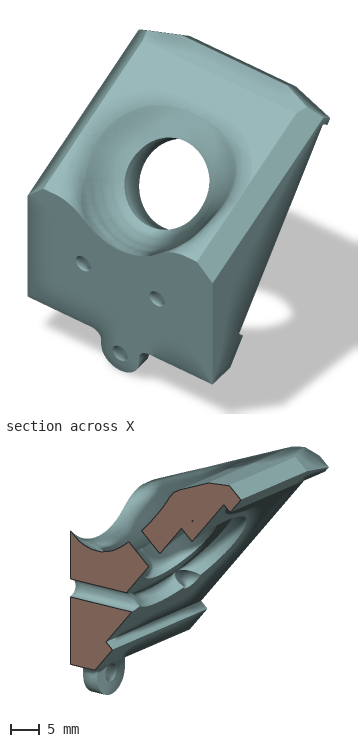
import cadquery as cq
import math


width = 39.0
roof_start_height = 27.2
roof_angle = 22.2
roof_end_y = 30.0
peak_y = 34.51
peak_z = 39.86
edge_chamfer = 3.3

seat_angle = 50.0
seat_y = 7.82
seat_z = 5.73
seat_length = 39.6
seat_depth = 1.8
end_flat_width = 22.4
end_corner_drop = 2.4

lens_diameter = 16.0
lens_recess_diameter = 24.0
lens_recess_depth = 3.0
bowl_floor_height = 8.0

bowl_low_radius = 13.0
bowl_high_radius = 15.4
bowl_high_offset = 6.4
bowl_floor_fillet = 8.6
bowl_lip_fillet = 4.0

screw_diameter = 3.2
screw_spacing = 15.6
screw_height = 14.0
tab_radius = 4.0
tab_hole_drop = 3.0
tab_thickness = 3.0
tab_root_fillet = 2.0

oversize = 100.0
margin = 10.0

seat_cos = math.cos(math.radians(seat_angle))
seat_sin = math.sin(math.radians(seat_angle))
roof_cos = math.cos(math.radians(roof_angle))
roof_sin = math.sin(math.radians(roof_angle))
roof_slope = math.tan(math.radians(roof_angle))


def seat_point(along, height):
    """(y, z) of a point given by its distance up the slope and its height off the seat."""
    y = seat_y + along * seat_cos - height * seat_sin
    z = seat_z + along * seat_sin + height * seat_cos
    return (y, z)


def seat_plane(along, height):
    """Plane parallel to the seat: local x is X, local y runs up the slope, normal faces out."""
    return cq.Plane(
        origin=(0, *seat_point(along, height)),
        xDir=(1, 0, 0),
        normal=(0, -seat_sin, seat_cos),
    )


def extrude_across(points, span):
    """Prism of a (y, z) outline, centred on X = 0."""
    return cq.Workplane("YZ").polyline(points).close().extrude(span / 2, both=True)


end_along = (peak_y - seat_y) * seat_cos + (peak_z - seat_z) * seat_sin
lens_along = seat_length / 2


def make_wedge():
    step = seat_point(0, -seat_depth)
    base_depth = step[0] - step[1] / math.tan(math.radians(seat_angle))
    outline = [
        (0, 0),
        (base_depth, 0),
        step,
        seat_point(0, 0),
        seat_point(seat_length, 0),
        seat_point(seat_length, -seat_depth),
        seat_point(end_along, -seat_depth),
        (peak_y, peak_z),
        (roof_end_y, roof_start_height + roof_end_y * roof_slope),
        (0, roof_start_height),
    ]
    return extrude_across(outline, width)


def make_edge_chamfer_cutter(side):
    """Triangular bar along one roof edge, running parallel to the roof."""
    plane = cq.Plane(
        origin=(0, 0, roof_start_height),
        xDir=(1, 0, 0),
        normal=(0, roof_cos, roof_sin),
    )
    drop = edge_chamfer * roof_cos
    overshoot_y = margin * roof_cos
    inner_x = side * (width / 2 - edge_chamfer - margin)
    outer_x = side * (width / 2 + margin)
    corners = [
        (inner_x, -overshoot_y),
        (outer_x, drop + overshoot_y),
        (outer_x, -overshoot_y),
    ]
    return cq.Workplane(plane).workplane(offset=-margin).polyline(corners).close().extrude(oversize)


def make_end_corner_cutter(side):
    """Prism square to the seat that clips one outer corner of the upper end."""
    corners = [
        (side * end_flat_width / 2, 0),
        (side * width / 2, -end_corner_drop),
        (side * width / 2, margin),
        (side * end_flat_width / 2, margin),
    ]
    plane = seat_plane(end_along, 0)
    return cq.Workplane(plane).polyline(corners).close().extrude(margin, both=True)


def make_bowl_cutter():
    """Tapered slot with two round ends and a large fillet around its floor."""
    tilt_sin = (bowl_high_radius - bowl_low_radius) / bowl_high_offset
    tilt_cos = math.sqrt(1 - tilt_sin**2)

    def tangent_point(side, radius, offset):
        return (side * radius * tilt_cos, offset - radius * tilt_sin)

    floor_plane = seat_plane(lens_along, bowl_floor_height)
    slot = (
        cq.Workplane(floor_plane)
        .moveTo(*tangent_point(-1, bowl_high_radius, bowl_high_offset))
        .threePointArc(
            (0, bowl_high_offset + bowl_high_radius),
            tangent_point(1, bowl_high_radius, bowl_high_offset),
        )
        .lineTo(*tangent_point(1, bowl_low_radius, 0))
        .threePointArc((0, -bowl_low_radius), tangent_point(-1, bowl_low_radius, 0))
        .close()
        .extrude(oversize)
    )
    floor_edges = slot.faces(cq.DirectionMinMaxSelector(floor_plane.zDir, False)).edges()
    return floor_edges.fillet(bowl_floor_fillet)


def make_bowl_envelope():
    """Oversize block under the roof plane with the bowl cut in and its lip rounded."""
    front_y = -2 * margin
    back_y = oversize
    outline = [
        (front_y, -oversize),
        (back_y, -oversize),
        (back_y, roof_start_height + back_y * roof_slope),
        (front_y, roof_start_height + front_y * roof_slope),
    ]
    block = extrude_across(outline, oversize).cut(make_bowl_cutter())
    roof_normal = cq.Vector(0, -roof_sin, roof_cos)
    roof = block.faces(cq.DirectionMinMaxSelector(roof_normal, True))
    lip_edges = [edge for wire in roof.val().innerWires() for edge in wire.Edges()]
    return block.newObject(lip_edges).fillet(bowl_lip_fillet)


def cut_lens_opening(body):
    bore = (
        cq.Workplane(seat_plane(lens_along, 0))
        .circle(lens_diameter / 2)
        .extrude(bowl_floor_height + margin)
    )
    recess = (
        cq.Workplane(seat_plane(lens_along, -seat_depth))
        .circle(lens_recess_diameter / 2)
        .extrude(seat_depth + lens_recess_depth)
    )
    return body.cut(bore).cut(recess)


def make_tab():
    root = tab_radius + tab_root_fillet
    bend = tab_root_fillet * (1 - math.sqrt(0.5))
    return (
        cq.Workplane("XZ")
        .moveTo(-root, 0)
        .threePointArc((-tab_radius - bend, -bend), (-tab_radius, -tab_root_fillet))
        .lineTo(-tab_radius, -tab_hole_drop)
        .threePointArc((0, -tab_hole_drop - tab_radius), (tab_radius, -tab_hole_drop))
        .lineTo(tab_radius, -tab_root_fillet)
        .threePointArc((tab_radius + bend, -bend), (root, 0))
        .close()
        .extrude(-tab_thickness)
    )


def make_screw_holes():
    centres = [
        (-screw_spacing / 2, screw_height),
        (screw_spacing / 2, screw_height),
        (0, -tab_hole_drop),
    ]
    return cq.Workplane("XZ").pushPoints(centres).circle(screw_diameter / 2).extrude(-oversize)


result = make_wedge()
for side in (-1, 1):
    result = result.cut(make_edge_chamfer_cutter(side)).cut(make_end_corner_cutter(side))
result = result.intersect(make_bowl_envelope())
result = cut_lens_opening(result).union(make_tab()).cut(make_screw_holes())